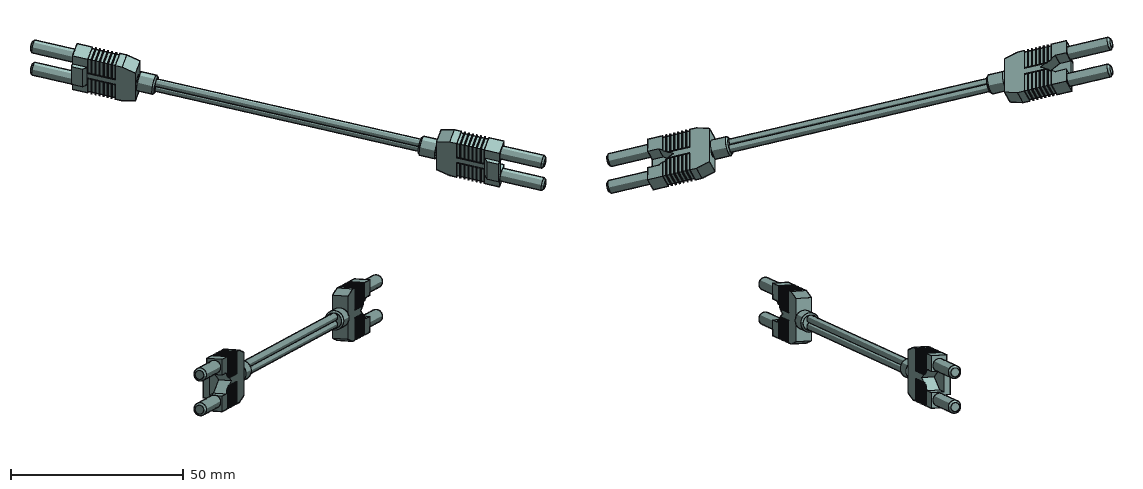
import cadquery as cq


OVERALL_LENGTH = 155.5

HOUSING_START = -64.7
HOUSING_END = -45.5
HOUSING_DEPTH = 4.8
HOUSING_HEIGHT = 15.5
TAPER_LENGTH = 4.0
TAPER_RISE = 1.4

GROOVE_COUNT = 7
GROOVE_PITCH = 1.23
GROOVE_WIDTH = 1.0
GROOVE_DEPTH = 0.3
FIRST_GROOVE = -60.0
SPINE_HEIGHT = 2.3

LATCH_HEIGHT = 8.1
LATCH_LENGTH = 4.5
LATCH_RISE = 1.1
LATCH_SLOPE = 1.1
NOTCH_HEIGHT = 6.2
NOTCH_STRAIGHT = 3.4
NOTCH_LENGTH = 8.0
NOTCH_WALL = 1.0

PIN_DIAMETER = 3.9
PIN_PITCH = 10.3
PIN_SHIFT = -0.23
PIN_TIP_CHAMFER = 0.6

SLEEVE_DIAMETER = 5.8
SLEEVE_GAP = 0.5
SLEEVE_LENGTH = 5.1
SLEEVE_CHAMFER = 0.55
CORE_DIAMETER = 2.3
CORE_OVERLAP = 0.2

FRONT_Y = -HOUSING_DEPTH / 2
SLEEVE_START = HOUSING_END + SLEEVE_GAP
SLEEVE_END = SLEEVE_START + SLEEVE_LENGTH
CORE_PITCH = CORE_DIAMETER - CORE_OVERLAP


def housing_block():
    half = HOUSING_HEIGHT / 2
    end_half = half - TAPER_RISE
    taper_start = HOUSING_END - TAPER_LENGTH
    outline = [
        (HOUSING_START, -half),
        (taper_start, -half),
        (HOUSING_END, -end_half),
        (HOUSING_END, end_half),
        (taper_start, half),
        (HOUSING_START, half),
    ]
    return cq.Workplane("XZ").polyline(outline).close().extrude(HOUSING_DEPTH / 2, both=True)


def latch_plate():
    """Raised plate on the -Y face, sloped down towards the grooves."""
    outline = [
        (HOUSING_START, FRONT_Y),
        (HOUSING_START, FRONT_Y - LATCH_RISE),
        (HOUSING_START + LATCH_LENGTH - LATCH_SLOPE, FRONT_Y - LATCH_RISE),
        (HOUSING_START + LATCH_LENGTH, FRONT_Y),
    ]
    return cq.Workplane("XY").polyline(outline).close().extrude(LATCH_HEIGHT / 2, both=True)


def notch():
    """Slot with a V end between the pins, open towards +Y and closed by a thin wall at -Y."""
    half = NOTCH_HEIGHT / 2
    straight_end = HOUSING_START + NOTCH_STRAIGHT
    outline = [
        (HOUSING_START, -half),
        (straight_end, -half),
        (HOUSING_START + NOTCH_LENGTH, 0),
        (straight_end, half),
        (HOUSING_START, half),
    ]
    back_y = HOUSING_DEPTH / 2
    cut_depth = HOUSING_DEPTH - NOTCH_WALL
    return cq.Workplane("XZ", origin=(0, back_y, 0)).polyline(outline).close().extrude(cut_depth)


def groove(start):
    """Channel round the housing that leaves the spine along the middle of both wide faces."""
    channel = cq.Workplane("XY").box(
        GROOVE_WIDTH, HOUSING_DEPTH, HOUSING_HEIGHT, centered=(False, True, True)
    )
    core = cq.Workplane("XY").box(
        GROOVE_WIDTH,
        HOUSING_DEPTH - 2 * GROOVE_DEPTH,
        HOUSING_HEIGHT - 2 * GROOVE_DEPTH,
        centered=(False, True, True),
    )
    spine = cq.Workplane("XY").box(
        GROOVE_WIDTH, HOUSING_DEPTH, SPINE_HEIGHT, centered=(False, True, True)
    )
    return channel.cut(core).cut(spine).translate((start, 0, 0))


def pin(z):
    """Round pin from the outer end of the plug up to the housing."""
    length = HOUSING_START + OVERALL_LENGTH / 2
    return (
        cq.Workplane("YZ", origin=(-OVERALL_LENGTH / 2, 0, z))
        .circle(PIN_DIAMETER / 2)
        .extrude(length)
        .faces("<X")
        .chamfer(PIN_TIP_CHAMFER)
    )


def make_plug():
    body = housing_block().union(latch_plate()).cut(notch())
    for index in range(GROOVE_COUNT):
        body = body.cut(groove(FIRST_GROOVE + index * GROOVE_PITCH))
    for side in (-1, 1):
        body = body.union(pin(PIN_SHIFT + side * PIN_PITCH / 2))
    return body


def twin_cores(start, end):
    """Two round cores fused side by side into a figure-eight section."""
    cores = cq.Workplane("YZ", origin=(start, 0, 0))
    cores = cores.pushPoints([(0, -CORE_PITCH / 2), (0, CORE_PITCH / 2)])
    return cores.circle(CORE_DIAMETER / 2).extrude(end - start)


def make_sleeve():
    """Round sleeve on the cord, just clear of the housing and chamfered at its outer end."""
    sleeve = cq.Workplane("YZ", origin=(SLEEVE_START, 0, 0))
    sleeve = sleeve.circle(SLEEVE_DIAMETER / 2).extrude(SLEEVE_LENGTH)
    sleeve = sleeve.faces(">X").chamfer(SLEEVE_CHAMFER)
    return sleeve.cut(twin_cores(SLEEVE_START, SLEEVE_END))


def make_cord():
    """Cord from one housing to the other, through both sleeves."""
    return twin_cores(HOUSING_END, -HOUSING_END)


cord = make_cord()
bodies = [cord.solids().val()]
for turn in (0, 180):
    for body in (make_plug(), make_sleeve()):
        bodies.append(body.rotate((0, 0, 0), (0, 1, 0), turn).solids().val())

result = cq.Compound.makeCompound(bodies)